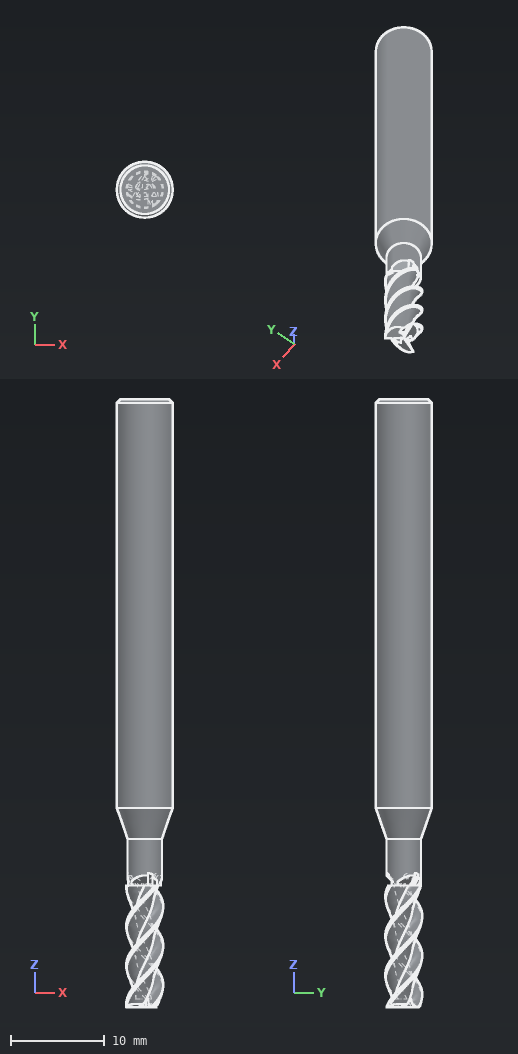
import cadquery as cq
import math

overall_length = 65.0
shank_diameter = 6.0
shank_chamfer = 0.4
shank_bottom = 21.3
neck_diameter = 3.7
neck_top = 18.0

cutter_diameter = 4.0
cutting_length = 13.0
tooth_count = 3
helix_angle = 45.0
end_tooth_angle = 51.0

land_end = (1.92, 10.0)
back_middle = (1.33, 50.0)
gullet_start = (0.98, 84.0)
gullet_middle = (1.1, 104.0)
rake_start = (1.65, 117.0)

flute_runouts = [
    (-1.4, 1.3, 0.75),
    (0.35, 0.85, 0.45),
]
flute_middle = -33.4
runout_slope = 45.0
runout_overshoot = 0.5

end_relief_angle = 18.0
gash_depth = 0.9
gash_angle = 45.0
gash_inner_radius = 0.3

shank_radius = shank_diameter / 2
neck_radius = neck_diameter / 2
cutter_radius = cutter_diameter / 2
tooth_pitch = 360.0 / tooth_count
helix_lead = math.pi * cutter_diameter / math.tan(math.radians(helix_angle))
head_twist = 360.0 * cutting_length / helix_lead


def polar(radius, angle):
    return (radius * math.cos(math.radians(angle)), radius * math.sin(math.radians(angle)))


def tip_section():
    """Closed outline of all the teeth at the tip, drawn from one cutting edge to the next."""
    section = cq.Workplane("XY").moveTo(*polar(cutter_radius, end_tooth_angle))
    for tooth in range(tooth_count):
        edge_angle = end_tooth_angle + tooth * tooth_pitch

        def at(point):
            return polar(point[0], edge_angle + point[1])

        section = section.lineTo(*at(land_end))
        section = section.threePointArc(at(back_middle), at(gullet_start))
        section = section.threePointArc(at(gullet_middle), at(rake_start))
        section = section.lineTo(*at((cutter_radius, tooth_pitch)))
    return section.close()


def tip_grinding(edge_angle):
    """Material ground off at one tooth's end: the relief behind its edge and the gash before it."""
    reach = cutter_diameter
    relief_rise = reach * math.tan(math.radians(end_relief_angle))
    gash_width = gash_depth / math.tan(math.radians(gash_angle))
    plane = cq.Plane(origin=(0, 0, 0), xDir=(0, 1, 0), normal=(1, 0, 0))
    relief = cq.Workplane(plane).polyline([(0, 0), (reach, relief_rise), (reach, 0)]).close().extrude(reach)
    gash = cq.Workplane(plane).workplane(offset=gash_inner_radius)
    gash = gash.polyline([(0, 0), (0, gash_depth), (-gash_width, 0)]).close().extrude(reach)
    return relief.union(gash).rotate((0, 0, 0), (0, 0, 1), edge_angle)


def make_cutting_head():
    head = tip_section().twistExtrude(cutting_length, head_twist)
    for tooth in range(tooth_count):
        head = head.cut(tip_grinding(end_tooth_angle + tooth * tooth_pitch))
    return head


def flute_runout(direction, near_side, far_side, root_offset):
    """A straight-sided slot above the head whose ceiling slopes up towards the given direction."""
    outer_offset = neck_radius + runout_overshoot
    rise = (outer_offset - root_offset) * math.tan(math.radians(runout_slope))
    outline = [
        (root_offset, cutting_length),
        (outer_offset, cutting_length + rise),
        (outer_offset, cutting_length),
    ]
    slot = cq.Workplane("XZ", origin=(0, near_side, 0)).polyline(outline).close()
    slot = slot.extrude(near_side - far_side)
    return slot.rotate((0, 0, 0), (0, 0, 1), direction)


def make_shank():
    profile = [
        (0, cutting_length),
        (-neck_radius, cutting_length),
        (-neck_radius, neck_top),
        (-shank_radius, shank_bottom),
        (-shank_radius, overall_length - shank_chamfer),
        (-shank_radius + shank_chamfer, overall_length),
        (0, overall_length),
    ]
    shank = cq.Workplane("YZ").polyline(profile).close().revolve(360, (0, 0), (0, 1))
    for tooth in range(tooth_count):
        direction = end_tooth_angle + head_twist + flute_middle + tooth * tooth_pitch
        for near_side, far_side, root_offset in flute_runouts:
            shank = shank.cut(flute_runout(direction, near_side, far_side, root_offset))
    return shank


cutting_head = make_cutting_head()
shank = make_shank()
result = cq.Compound.makeCompound([cutting_head.val(), shank.val()])